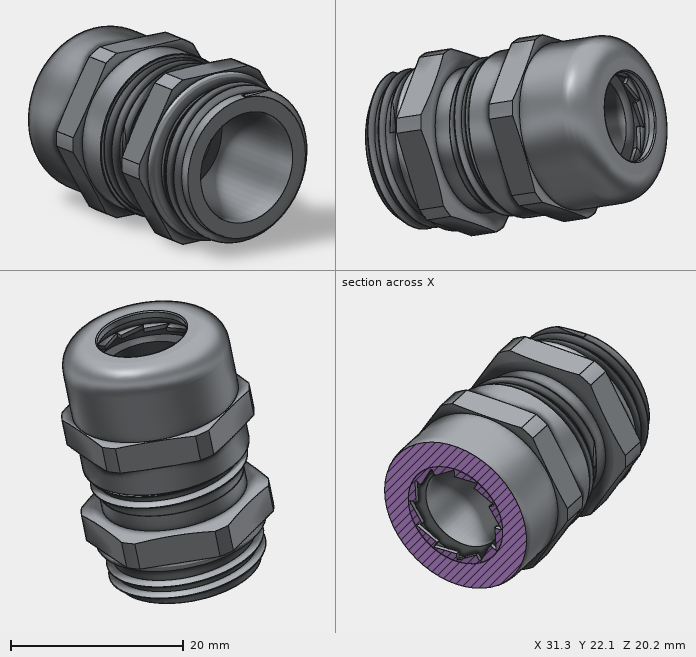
import cadquery as cq
import math


length = 31.25
cap_length = 16.05
cap_diameter = 19.65
cap_round = 3.0
cap_rim_chamfer = 0.1
cap_hex_start = 8.9
cap_hex_width = 3.62
cap_hex_bevel = 0.2
opening_diameter = 10.55
opening_chamfer = 0.15
lip_thickness = 0.88
cap_taper_angle = 40.0
taper_slope = math.tan(math.radians(cap_taper_angle))
cap_cavity_diameter = 15.12
cap_skirt_bore = 18.75

hex_across_flats = 20.0
hex_corner_diameter = 22.12
hex_bevel_diameter = 19.38

body_start = 9.38
root_diameter = 17.0
neck_start = 19.53
neck_diameter = 17.12
body_hex_start = 21.5
body_hex_width = 3.72
body_hex_bevel = 0.35
collar_end = 26.75
collar_diameter = 17.25
socket_diameter = 14.9
socket_end = 17.5
body_bore = 13.3

crest_diameter = 18.7
pitch = 1.5
ridge_base = 0.95
ridge_crest = 0.1
ridge_sink = 0.1
runout_height = 0.1
front_thread_end = 19.05
front_thread_turns = 3.25
rear_thread_end = 30.75
rear_thread_turns = 2.25

ring_diameter = 20.2
ring_width = 1.05
ring_crown = 0.53

seal_start = 4.0
seal_diameter = 13.72
seal_bore = 10.3
cage_start = 2.2
tooth_thickness = 0.5
tooth_count = 12
tooth_phase = -2.0
tooth_inner_radius = 5.35
tooth_outer_radius = 6.25


def revolve(points):
    """Turn a closed (x, radius) outline about the X axis."""
    return cq.Workplane("XY").polyline(points).close().revolve(360, (0, 0, 0), (1, 0, 0))


def tube(start, end, outer, inner):
    return cq.Workplane("YZ", origin=(start, 0, 0)).circle(outer / 2).circle(inner / 2).extrude(end - start)


def rod(start, end, diameter):
    return cq.Workplane("YZ", origin=(start, 0, 0)).circle(diameter / 2).extrude(end - start)


def hexagon(start, width, bevel, bevel_rear):
    """Hexagon with corners on Y, turned down at the corners and bevelled at the front or at both ends."""
    corner_to_corner = hex_across_flats / math.cos(math.pi / 6)
    prism = cq.Workplane("YZ", origin=(start, 0, 0)).polygon(6, corner_to_corner).extrude(width)
    bevel_height = (hex_corner_diameter - hex_bevel_diameter) / 2
    envelope = rod(start, start + width, hex_corner_diameter)
    envelope = envelope.faces("<X").edges().chamfer(bevel, bevel_height)
    if bevel_rear:
        envelope = envelope.faces(">X").edges().chamfer(bevel, bevel_height)
    return prism.intersect(envelope)


def thread(end, turns, end_angle, fade_start):
    """Right-handed ridge; end_angle is measured from +Z towards -Y, where the ridge runs out at x = end."""
    root = root_diameter / 2
    crest = crest_diameter / 2
    rise = turns * pitch
    sunk = root - ridge_sink
    corners = [
        (sunk, -ridge_base / 2),
        (crest, -ridge_crest / 2),
        (crest, ridge_crest / 2),
        (sunk, ridge_base / 2),
    ]
    helices = [
        cq.Wire.makeHelix(pitch, rise, radius).translate(cq.Vector(0, 0, height))
        for radius, height in corners
    ]
    flanks = [cq.Face.makeRuledSurface(helices[i - 1], helices[i]) for i in range(len(helices))]
    start_cap = cq.Workplane("XZ").polyline(corners).close()
    start_cap = cq.Face.makeFromWires(start_cap.wire().val())
    end_cap = start_cap.rotate(cq.Vector(), cq.Vector(0, 0, 1), turns * 360).translate(cq.Vector(0, 0, rise))
    ridge = cq.Workplane(cq.Solid.makeSolid(cq.Shell.makeShell(flanks + [start_cap, end_cap])))
    fade = math.sqrt(crest**2 - root**2) + 0.3
    flat = cq.Workplane("XY").box(crest - root + 0.3, fade, pitch, centered=(False, False, True))
    last_flat = flat.translate((root + runout_height, -fade, rise)).rotate((0, 0, 0), (0, 0, 1), turns * 360)
    ridge = ridge.cut(last_flat)
    if fade_start:
        ridge = ridge.cut(flat.translate((root + runout_height, 0, 0)))
    start_angle = end_angle - turns * 360
    return (
        ridge.rotate((0, 0, 0), (0, 1, 0), 90)
        .rotate((0, 0, 0), (1, 0, 0), 180 + start_angle)
        .translate((end - rise, 0, 0))
    )


def taper_x(radius):
    """Where the cap's inner taper reaches a radius."""
    return lip_thickness + (radius - opening_diameter / 2) / taper_slope


def make_cap():
    shell = rod(0, cap_length, cap_diameter)
    shell = shell.faces("<X").edges().fillet(cap_round)
    shell = shell.faces(">X").edges().chamfer(cap_rim_chamfer)
    shell = shell.union(hexagon(cap_hex_start, cap_hex_width, cap_hex_bevel, True))
    opening = opening_diameter / 2
    cavity = cap_cavity_diameter / 2
    hollow = revolve([
        (0, 0),
        (0, opening + opening_chamfer),
        (opening_chamfer, opening),
        (lip_thickness, opening),
        (taper_x(cavity), cavity),
        (body_start, cavity),
        (body_start, cap_skirt_bore / 2),
        (cap_length, cap_skirt_bore / 2),
        (cap_length, 0),
    ])
    return shell.cut(hollow)


def make_body():
    body = rod(body_start, length, root_diameter)
    body = body.union(rod(neck_start, body_hex_start, neck_diameter))
    body = body.union(hexagon(body_hex_start, body_hex_width, body_hex_bevel, False))
    body = body.union(rod(body_hex_start + body_hex_width, collar_end, collar_diameter))
    body = body.cut(rod(body_start, socket_end, socket_diameter))
    body = body.cut(rod(socket_end, length, body_bore))
    body = body.union(thread(front_thread_end, front_thread_turns, 90, False))
    return body.union(thread(rear_thread_end, rear_thread_turns, 0, True))


def make_ring():
    """Sealing ring with a fully rounded rim, seated on the collar behind the body's hexagon."""
    start = body_hex_start + body_hex_width
    end = start + ring_width
    bore = collar_diameter / 2
    shoulder = ring_diameter / 2 - ring_crown
    section = (
        cq.Workplane("XY")
        .moveTo(start, bore)
        .lineTo(start, shoulder)
        .threePointArc((start + ring_width / 2, ring_diameter / 2), (end, shoulder))
        .lineTo(end, bore)
        .close()
    )
    return section.revolve(360, (0, 0, 0), (1, 0, 0))


def make_seal():
    return tube(seal_start, socket_end, seal_diameter, seal_bore)


def make_cage():
    """Tube around the seal, closed in front by inward teeth that bear on the cap's taper."""
    outer = socket_diameter / 2
    inner = seal_diameter / 2
    tip_end = cage_start + tooth_thickness
    cage = revolve([
        (cage_start, 0),
        (cage_start, opening_diameter / 2 + (cage_start - lip_thickness) * taper_slope),
        (taper_x(outer), outer),
        (socket_end, outer),
        (socket_end, inner),
        (tip_end, inner),
        (tip_end, 0),
    ])
    outline = []
    for i in range(tooth_count):
        step_angle = math.radians(tooth_phase + i * 360 / tooth_count)
        for radius in (tooth_outer_radius, tooth_inner_radius):
            outline.append((radius * math.cos(step_angle), radius * math.sin(step_angle)))
    opening = cq.Workplane("YZ").polyline(outline).close().extrude(tip_end)
    return cage.cut(opening)


cap = make_cap()
body = make_body()
ring = make_ring()
seal = make_seal()
cage = make_cage()
result = cq.Compound.makeCompound([cap.val(), body.val(), ring.val(), seal.val(), cage.val()])